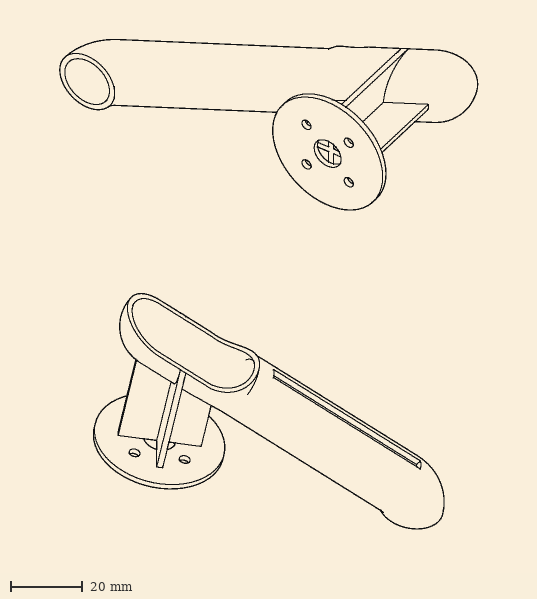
import cadquery as cq
import math

tilt = 30.0
wall = 1.7
tube_diameter = 18.5
tube_length = 58.9
flare_length = 11.3
trough_length = 18.9
trough_diameter = 23.5
trough_depth = 10.8
mouth_turn = 90.0 - tilt

flange_diameter = 37.0
flange_thickness = 1.7
centre_hole_diameter = 9.0
screw_hole_diameter = 3.0
screw_hole_spacing = 14.2
rib_thickness = 1.7
rib_reach = 60.8

pivot_x = -64.2
pivot_y = -11.0

bend_axis_gap = 0.02

slot_width = 3.3
slot_end_gap = 5.3

tube_radius = tube_diameter / 2
bend_radius = tube_radius + bend_axis_gap
trough_radius = trough_diameter / 2
flare_end = tube_length + flare_length
trough_end = flare_end + trough_length
spout_end = trough_end + trough_radius


def disc(x, centre_height, radius):
    """Circle across the spout at distance x along it."""
    return cq.Workplane("YZ", origin=(x, centre_height, 0)).circle(radius)


def spout_volume(inset):
    """Filled spout, shrunk inward by inset."""
    small = tube_radius - inset
    large = trough_radius - inset
    bend = disc(0, tube_radius, small).revolve(
        mouth_turn, (-bend_radius, 0, 0), (-bend_radius, 1, 0)
    )
    tube = disc(0, tube_radius, small).extrude(tube_length)
    flare = (
        disc(tube_length, tube_radius, small)
        .workplane(offset=flare_length)
        .center(trough_radius - tube_radius, 0)
        .circle(large)
        .loft(ruled=True)
    )
    trough = disc(flare_end, trough_radius, large).extrude(trough_length)
    end_ball = cq.Workplane("XY").sphere(large).translate((trough_end, trough_radius, 0))
    return bend.union(tube).union(flare).union(trough).union(end_ball)


def place(body):
    """Tilt the spout and move it to its place beside the flange."""
    return body.rotate((0, 0, 0), (0, 0, 1), tilt).translate((pivot_x, pivot_y, 0))


def trough_opening():
    """Space above the trough rim, with a round lead-in from the top of the tube."""
    drop = tube_diameter - trough_depth
    lead_radius = (flare_length**2 + drop**2) / (2 * drop)
    half_run = flare_length / 2
    half_height = trough_depth + lead_radius - math.sqrt(lead_radius**2 - half_run**2)
    top = 2 * trough_diameter
    return (
        cq.Workplane("XY")
        .moveTo(tube_length, tube_diameter)
        .threePointArc((tube_length + half_run, half_height), (flare_end, trough_depth))
        .lineTo(2 * spout_end, trough_depth)
        .lineTo(2 * spout_end, top)
        .lineTo(tube_length, top)
        .close()
        .extrude(trough_diameter, both=True)
    )


def back_slot():
    length = tube_length - slot_end_gap
    bar = cq.Workplane("XY").box(length, tube_radius, slot_width, centered=(False, False, True))
    return bar.translate((0, tube_radius, 0))


def cross_ribs():
    """Level and upright ribs reaching from the flange into the spout."""
    face = cq.Workplane("XZ", origin=(0, flange_thickness, 0))
    level = face.rect(trough_diameter, rib_thickness).extrude(-rib_reach)
    upright = face.rect(rib_thickness, trough_diameter).extrude(-rib_reach)
    return level.union(upright)


def flange():
    plate = cq.Workplane("XZ").circle(flange_diameter / 2).extrude(-flange_thickness)
    centre_hole = cq.Workplane("XZ").circle(centre_hole_diameter / 2).extrude(-flange_thickness)
    screw_holes = (
        cq.Workplane("XZ")
        .rect(screw_hole_spacing, screw_hole_spacing, forConstruction=True)
        .vertices()
        .circle(screw_hole_diameter / 2)
        .extrude(-flange_thickness)
    )
    return plate.cut(centre_hole).cut(screw_holes)


opening = place(trough_opening())
filled_body = place(spout_volume(0)).union(cross_ribs())
result = (
    filled_body.cut(place(spout_volume(wall)))
    .cut(opening)
    .cut(place(back_slot()))
    .union(flange())
)